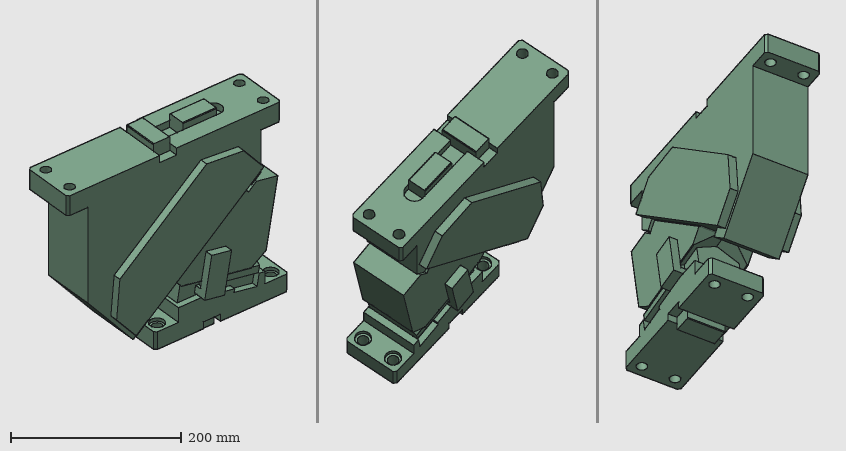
import cadquery as cq
import math


BODY_WIDTH = 75.0
CORNER_CHAMFER = 3.3
BOLT_HOLE_DIAMETER = 13.5
BOLT_SPACING = 45.0
BOLT_EDGE_DISTANCE = 15.0
KEY_WIDTH = 25.0
KEY_PROUD = 10.0
KEY_SEAT = 10.0
KEY_CHAMFER = 1.0
CROSS_KEY_LENGTH = 50.5

RAMP_ANGLE = 10
RAMP_HEIGHT = 64.0

GUIDE_ANGLE = 40
GUIDE_HEIGHT = 156.5

BASE_LENGTH = 200.0
BASE_THICKNESS = 25.0
BASE_KEY_Y = -14.5
COUNTERBORE_DIAMETER = 20.0
COUNTERBORE_DEPTH = 4.5
BLOCK_LENGTH = 129.8
BLOCK_HEIGHT = 46.0
NECK_WIDTH = 57.5
NECK_DEPTH = 29.8
HEAD_WIDTH = 72.0
HEAD_EDGE_THICKNESS = 10.0
HEAD_START = -58.5
HEAD_END = 26.0
NECK_END = 56.0
RIDGE_ANGLE = 30
SIDE_FLOOR_DEPTH = 23.0
DEEP_FLOOR_DEPTH = 27.8
DEEP_FLOOR_END = -23.8

SLIDE_BACK = -64.2
SLIDE_FRONT = 61.2
CHANNEL_END = 86.0
SLIDE_RISE = 120.0
SLIDE_BACK_CHAMFER = 20.0
SLIDE_TOP_START = -37.0
SLIDE_TOP_END = 99.0
NOTCH_START = -31.5
NOTCH_DEPTH = 18.2
PAD_THICKNESS = 1.5
PAD_INSET = 1.5

STRAP_START = 1.0
STRAP_WIDTH = 30.0
STRAP_TOP = 40.5
STRAP_THICKNESS = 11.0
HOOK_THICKNESS = 10.3

HOLDER_TOP = 275.0
HOLDER_PLATE_BACK = 88.7
HOLDER_PLATE_LENGTH = 319.7
HOLDER_PLATE_THICKNESS = 28.0
HOLDER_BACK = 59.0
HOLDER_FRONT = -200.5
HOLDER_NOSE = 183.5
BACK_LIP_END = -46.0
NOSE_LIP_START = 153.5
BACK_LIP_DEPTH = 15.0
NOSE_LIP_DEPTH = 12.0
HOLDER_CROSS_KEY_Y = -80.5
LONG_KEY_LENGTH = 50.3
LONG_KEY_Y = -13.2
LONG_SLOT_BACK = 28.8

SIDE_PLATE_THICKNESS = 11.0
SIDE_PLATE_START = -71.0
SIDE_PLATE_LENGTH = 249.2
SIDE_PLATE_HEIGHT = 86.0
SIDE_PLATE_CORNER = 39.7

HALF_WIDTH = BODY_WIDTH / 2
HALF_BASE = BASE_LENGTH / 2
HALF_BLOCK = BLOCK_LENGTH / 2
RAMP_TILT = math.radians(RAMP_ANGLE)
GUIDE_TILT = math.radians(GUIDE_ANGLE)


def ramp_point(along, up):
    """(Y, Z) of a point `along` the ramp, which climbs toward -Y, and `up` square to it."""
    y = -along * math.cos(RAMP_TILT) + up * math.sin(RAMP_TILT)
    z = RAMP_HEIGHT + along * math.sin(RAMP_TILT) + up * math.cos(RAMP_TILT)
    return (y, z)


def guide_point(along, up):
    """(Y, Z) of a point `along` the guide, which falls toward -Y, and `up` square to it."""
    y = -along * math.cos(GUIDE_TILT) - up * math.sin(GUIDE_TILT)
    z = GUIDE_HEIGHT - along * math.sin(GUIDE_TILT) + up * math.cos(GUIDE_TILT)
    return (y, z)


def guide_point_at_y(y, up):
    """(Y, Z) where the line parallel to the guide at height `up` reaches the given Y."""
    return guide_point(-(y + up * math.sin(GUIDE_TILT)) / math.cos(GUIDE_TILT), up)


def slab(points, x_start, x_end):
    """A (Y, Z) outline extruded from x_start to x_end."""
    return cq.Workplane("YZ", origin=(x_start, 0, 0)).polyline(points).close().extrude(x_end - x_start)


def wide_slab(points, width):
    """A (Y, Z) outline extruded to both sides of the middle plane."""
    return slab(points, -width / 2, width / 2)


def on_both_sides(body):
    """The body together with its mirror image across the middle plane."""
    return body.union(body.mirror("YZ"))


def box(size_x, y_start, y_end, z_start, z_end):
    """A box centred on X = 0."""
    corners = [(y_start, z_start), (y_end, z_start), (y_end, z_end), (y_start, z_end)]
    return wide_slab(corners, size_x)


def flange(y_front, y_back, z_bottom, z_top):
    """A mounting plate with chamfered upright corners."""
    plate = box(BODY_WIDTH, y_front, y_back, z_bottom, z_top)
    return plate.edges("|Z").chamfer(CORNER_CHAMFER)


def bolt_cylinders(y_front, y_back, z_bottom, diameter, height):
    """Four upright cylinders at the bolt places of a mounting plate."""
    middle = (0, (y_front + y_back) / 2, z_bottom)
    pitch = y_back - y_front - 2 * BOLT_EDGE_DISTANCE
    plane = cq.Workplane("XY", origin=middle)
    return plane.rarray(BOLT_SPACING, pitch, 2, 2).circle(diameter / 2).extrude(height)


def cross_slot(y_middle, z_start, z_end):
    """The cutter of a key slot that crosses the full width."""
    return box(BODY_WIDTH, y_middle - KEY_WIDTH / 2, y_middle + KEY_WIDTH / 2, z_start, z_end)


def cross_key(y_middle, z_start, z_end, proud_face):
    """A key lying along X, with the long edges of its proud face chamfered."""
    key = box(CROSS_KEY_LENGTH, y_middle - KEY_WIDTH / 2, y_middle + KEY_WIDTH / 2, z_start, z_end)
    return key.faces(proud_face).edges("|X").chamfer(KEY_CHAMFER)


def ridge_profile():
    """Section of the ridge on the ramp, as (X, up): a roof whose eaves are the edges of the head."""
    eave = HEAD_WIDTH / 2
    return [(-eave, 0), (eave, 0), (0, eave * math.tan(math.radians(RIDGE_ANGLE)))]


def ridge(start, end):
    """The ridge between two positions along the ramp."""
    y, z = ramp_point(start, 0)
    uphill = (0, -math.cos(RAMP_TILT), math.sin(RAMP_TILT))
    section = cq.Plane(origin=(0, y, z), xDir=(1, 0, 0), normal=uphill)
    return cq.Workplane(section).polyline(ridge_profile()).close().extrude(end - start)


def base_block():
    """The raised block: side pockets leave a neck, which carries the head and ridge of the ramp."""
    floor_rise = BLOCK_HEIGHT - RAMP_HEIGHT + SIDE_FLOOR_DEPTH * math.cos(RAMP_TILT)
    floor_end = floor_rise / math.sin(RAMP_TILT)
    rear_drop = HALF_BLOCK * math.tan(RAMP_TILT) + HEAD_EDGE_THICKNESS / math.cos(RAMP_TILT)
    shoulders = wide_slab([
        (-HALF_BLOCK, BASE_THICKNESS),
        (-HALF_BLOCK, BLOCK_HEIGHT),
        ramp_point(floor_end, -SIDE_FLOOR_DEPTH),
        ramp_point(DEEP_FLOOR_END, -SIDE_FLOOR_DEPTH),
        ramp_point(DEEP_FLOOR_END, -DEEP_FLOOR_DEPTH),
        ramp_point(HEAD_START, -DEEP_FLOOR_DEPTH),
        ramp_point(HEAD_START, -HEAD_EDGE_THICKNESS),
        (HALF_BLOCK, RAMP_HEIGHT - rear_drop),
        (HALF_BLOCK, BASE_THICKNESS),
    ], BODY_WIDTH)
    neck = wide_slab([
        ramp_point(HEAD_START, -NECK_DEPTH),
        ramp_point(HEAD_START, 0),
        ramp_point(NECK_END, 0),
        ramp_point(NECK_END, -NECK_DEPTH),
    ], NECK_WIDTH)
    head = wide_slab([
        ramp_point(HEAD_START, -HEAD_EDGE_THICKNESS),
        ramp_point(HEAD_START, 0),
        ramp_point(HEAD_END, 0),
        ramp_point(HEAD_END, -HEAD_EDGE_THICKNESS),
    ], HEAD_WIDTH)
    neck_ridge = ridge(HEAD_START, NECK_END).intersect(
        box(NECK_WIDTH, -HALF_BLOCK, HALF_BLOCK, 0, HOLDER_TOP))
    return shoulders.union(neck).union(head).union(ridge(HEAD_START, HEAD_END)).union(neck_ridge)


def make_base():
    base = flange(-HALF_BASE, HALF_BASE, 0, BASE_THICKNESS).union(base_block())
    counterbore_floor = BASE_THICKNESS - COUNTERBORE_DEPTH
    base = base.cut(bolt_cylinders(-HALF_BASE, HALF_BASE, 0, BOLT_HOLE_DIAMETER, BASE_THICKNESS))
    base = base.cut(bolt_cylinders(
        -HALF_BASE, HALF_BASE, counterbore_floor, COUNTERBORE_DIAMETER, COUNTERBORE_DEPTH))
    base = base.cut(cross_slot(BASE_KEY_Y, 0, KEY_SEAT))
    return base.union(cross_key(BASE_KEY_Y, -KEY_PROUD, KEY_SEAT, "<Z"))


def slide_body():
    """The wedge between ramp and guide, with a notch that clears the back lip of the holder."""
    return wide_slab([
        ramp_point(SLIDE_BACK, SLIDE_BACK_CHAMFER),
        ramp_point(SLIDE_BACK, SLIDE_RISE),
        ramp_point(NOTCH_START, SLIDE_RISE),
        guide_point(SLIDE_TOP_START, -NOTCH_DEPTH),
        guide_point(SLIDE_TOP_START, -PAD_THICKNESS),
        guide_point(SLIDE_TOP_END, -PAD_THICKNESS),
        ramp_point(SLIDE_FRONT, 0),
        ramp_point(SLIDE_BACK + SLIDE_BACK_CHAMFER, 0),
    ], BODY_WIDTH)


def slide_pad():
    """The bearing pad that raises the top of the slide to the guide plane."""
    return wide_slab([
        guide_point(SLIDE_TOP_START, -PAD_THICKNESS),
        guide_point(SLIDE_TOP_START, 0),
        guide_point(SLIDE_TOP_END, 0),
        guide_point(SLIDE_TOP_END, -PAD_THICKNESS),
    ], BODY_WIDTH - 2 * PAD_INSET)


def strap():
    """An upright bar on the flank at -X, whose hook reaches inward to the neck of the base."""
    strap_end = STRAP_START + STRAP_WIDTH
    hook_bottom = -HEAD_EDGE_THICKNESS - HOOK_THICKNESS
    bar = slab([
        ramp_point(STRAP_START, hook_bottom),
        ramp_point(STRAP_START, STRAP_TOP),
        ramp_point(strap_end, STRAP_TOP),
        ramp_point(strap_end, hook_bottom),
    ], -HALF_WIDTH - STRAP_THICKNESS, -HALF_WIDTH)
    hook = slab([
        ramp_point(STRAP_START, hook_bottom),
        ramp_point(STRAP_START, -HEAD_EDGE_THICKNESS),
        ramp_point(strap_end, -HEAD_EDGE_THICKNESS),
        ramp_point(strap_end, hook_bottom),
    ], -HALF_WIDTH - STRAP_THICKNESS, -NECK_WIDTH / 2)
    return bar.union(hook)


def make_slide():
    slide = slide_body().union(slide_pad())
    slide = slide.cut(ridge(SLIDE_BACK, CHANNEL_END))
    return slide.union(on_both_sides(strap()))


def holder_body():
    """The web below the mounting plate, with a lip at each end of the guide."""
    nose_rise = (-HOLDER_FRONT - HOLDER_NOSE * math.cos(GUIDE_TILT)) / math.sin(GUIDE_TILT)
    return wide_slab([
        (HOLDER_BACK, HOLDER_TOP),
        guide_point_at_y(HOLDER_BACK, -BACK_LIP_DEPTH),
        guide_point(BACK_LIP_END, -BACK_LIP_DEPTH),
        guide_point(BACK_LIP_END, 0),
        guide_point(NOSE_LIP_START, 0),
        guide_point(NOSE_LIP_START, -NOSE_LIP_DEPTH),
        guide_point(HOLDER_NOSE, -NOSE_LIP_DEPTH),
        guide_point(HOLDER_NOSE, nose_rise),
        (HOLDER_FRONT, HOLDER_TOP),
    ], BODY_WIDTH)


def side_plate():
    """The cheek plate at -X along the guide, with its two upper corners cut at 45 degrees."""
    end = SIDE_PLATE_START + SIDE_PLATE_LENGTH
    corner_height = SIDE_PLATE_HEIGHT - SIDE_PLATE_CORNER
    return slab([
        guide_point(SIDE_PLATE_START, 0),
        guide_point(SIDE_PLATE_START, corner_height),
        guide_point(SIDE_PLATE_START + SIDE_PLATE_CORNER, SIDE_PLATE_HEIGHT),
        guide_point(end - SIDE_PLATE_CORNER, SIDE_PLATE_HEIGHT),
        guide_point(end, corner_height),
        guide_point(end, 0),
    ], -HALF_WIDTH - SIDE_PLATE_THICKNESS, -HALF_WIDTH)


def long_slot():
    """The cutter of the slot along Y, round at the back and open into the cross slot."""
    radius = KEY_WIDTH / 2
    arc_middle = LONG_SLOT_BACK - radius
    floor = cq.Workplane("XY", origin=(0, 0, HOLDER_TOP - KEY_SEAT))
    outline = (
        floor.moveTo(-radius, HOLDER_CROSS_KEY_Y)
        .lineTo(-radius, arc_middle)
        .threePointArc((0, LONG_SLOT_BACK), (radius, arc_middle))
        .lineTo(radius, HOLDER_CROSS_KEY_Y)
        .close()
    )
    return outline.extrude(KEY_SEAT)


def long_key(z_start, z_end):
    """The key lying along Y, with the long edges of its top chamfered."""
    half_length = LONG_KEY_LENGTH / 2
    key = box(KEY_WIDTH, LONG_KEY_Y - half_length, LONG_KEY_Y + half_length, z_start, z_end)
    return key.faces(">Z").edges("|Y").chamfer(KEY_CHAMFER)


def make_holder():
    plate_front = HOLDER_PLATE_BACK - HOLDER_PLATE_LENGTH
    plate_bottom = HOLDER_TOP - HOLDER_PLATE_THICKNESS
    slot_floor = HOLDER_TOP - KEY_SEAT
    key_top = HOLDER_TOP + KEY_PROUD
    holder = flange(plate_front, HOLDER_PLATE_BACK, plate_bottom, HOLDER_TOP).union(holder_body())
    holder = holder.union(on_both_sides(side_plate()))
    holder = holder.cut(bolt_cylinders(
        plate_front, HOLDER_PLATE_BACK, plate_bottom, BOLT_HOLE_DIAMETER, HOLDER_PLATE_THICKNESS))
    holder = holder.cut(cross_slot(HOLDER_CROSS_KEY_Y, slot_floor, HOLDER_TOP)).cut(long_slot())
    holder = holder.union(cross_key(HOLDER_CROSS_KEY_Y, slot_floor, key_top, ">Z"))
    return holder.union(long_key(slot_floor, key_top))


base = make_base()
slide = make_slide()
holder = make_holder()

result = cq.Compound.makeCompound([body.solids().val() for body in (base, slide, holder)])